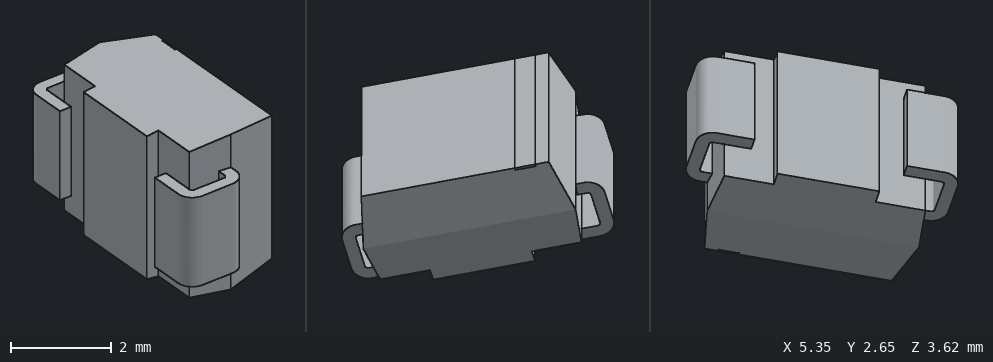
import cadquery as cq

overall_length = 5.35
overall_height = 2.65

parting_length = 4.33
parting_width = 3.62
parting_y = 1.435
crown_length = 3.82
end_width = 3.34
base_length = 4.04
base_y = 0.2

pedestal_length = 2.08
shoulder_y = 0.48

lead_width = 2.08
lead_thickness = 0.28
lead_bend_radius = 0.35
foot_length = 1.12

stripe_left_x = -1.63
stripe_width = 0.41
stripe_depth = 0.05


def xz_plane_at(y):
    """Workplane at height y, with local axes along X and Z."""
    return cq.Plane(origin=(0, y, 0), xDir=(1, 0, 0), normal=(0, -1, 0))


def tapered_half(end_y, end_length):
    """Tapered block from the parting plane to a smaller end rectangle."""
    return (
        cq.Workplane(xz_plane_at(parting_y))
        .rect(parting_length, parting_width)
        .workplane(offset=parting_y - end_y)
        .rect(end_length, end_width)
        .loft(ruled=True)
    )


def make_housing_blank():
    """Both tapered halves, with the shoulders cut beside the pedestal."""
    upper = tapered_half(overall_height, crown_length)
    lower = tapered_half(base_y, base_length)
    blank = upper.union(lower)
    shoulder_length = (parting_length - pedestal_length) / 2
    for side in (-1, 1):
        shoulder = (
            cq.Workplane("XY")
            .box(shoulder_length, shoulder_y, parting_width, centered=(True, False, True))
            .translate((side * (pedestal_length + shoulder_length) / 2, 0, 0))
        )
        blank = blank.cut(shoulder)
    return blank


def make_stripe(blank):
    """Polarity stripe running across the crown, trimmed to the housing sides."""
    band = (
        cq.Workplane("XY")
        .box(stripe_width, stripe_depth, parting_width, centered=(False, False, True))
        .translate((stripe_left_x, overall_height - stripe_depth, 0))
    )
    return band.intersect(blank)


def make_lead(side, blank):
    """C-shaped strip whose upper arm ends on the housing's end face."""
    outer_x = side * overall_length / 2
    inner_x = side * (overall_length / 2 - lead_thickness)
    foot_x = side * (overall_length / 2 - foot_length)
    arm_x = side * base_length / 2
    strip = (
        cq.Workplane("XY", origin=(0, 0, -lead_width / 2))
        .moveTo(foot_x, 0)
        .lineTo(outer_x, 0)
        .lineTo(outer_x, parting_y)
        .lineTo(arm_x, parting_y)
        .lineTo(arm_x, parting_y - lead_thickness)
        .lineTo(inner_x, parting_y - lead_thickness)
        .lineTo(inner_x, lead_thickness)
        .lineTo(foot_x, lead_thickness)
        .close()
        .extrude(lead_width)
    )
    outer_side = ">X" if side > 0 else "<X"
    strip = strip.faces(outer_side).edges("|Z").fillet(lead_bend_radius)
    inner_corners = cq.selectors.BoxSelector(
        (inner_x - lead_thickness / 2, 0, -lead_width),
        (inner_x + lead_thickness / 2, parting_y, lead_width),
    )
    strip = strip.edges("|Z").edges(inner_corners).fillet(lead_bend_radius - lead_thickness)
    return strip.cut(blank)


housing_blank = make_housing_blank()
stripe = make_stripe(housing_blank)
housing = housing_blank.cut(stripe)
leads = [make_lead(side, housing_blank) for side in (-1, 1)]

bodies = [housing, stripe, *leads]
result = cq.Compound.makeCompound([body.solids().val() for body in bodies])